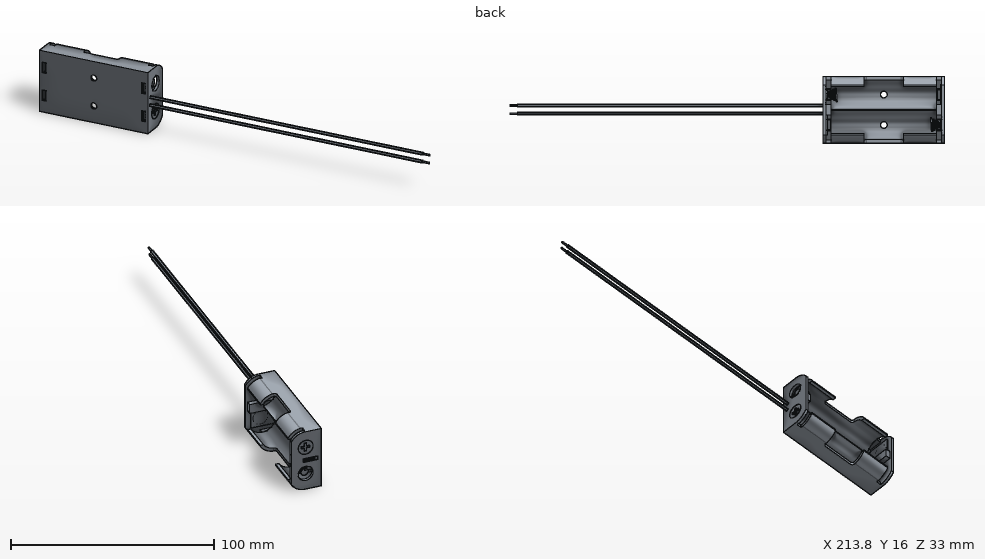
import cadquery as cq
import math


total_length = 213.8
body_length = 59.9
body_depth = 16.0
body_width = 33.0
half_width = body_width / 2

cell_pitch = 15.0
cell_z = cell_pitch / 2
cell_y = 8.3
bore_radius = 7.3
floor_thickness = cell_y - bore_radius

curve_start_y = 9.6
curve_radius = math.hypot(half_width - cell_z, curve_start_y - cell_y)
flat_half_width = cell_z + math.sqrt(curve_radius**2 - (body_depth - cell_y) ** 2)

opening_half_width = 11.5
cutout_floor_y = 7.7
cutout_length = 19.5
cutout_fillet = 1.3

end_wall = 1.5
pocket_length = 2.5
pocket_end = end_wall + pocket_length
divider_half_width = 2.5
divider_top_y = 15.0
window_length = 2.1
window_width = 5.5

screw_hole_diameter = 3.2
end_hole_diameter = 8.0

recess_low_y = 2.0
recess_high_y = 9.6
recess_height = 2.0
recess_depth = 0.5
inner_recess_low_y = 3.2
inner_recess_height = 0.6
inner_recess_depth = 0.9

sheet = 0.6
plate_half_width = 5.0
button_setback = 0.2
plate_top_y = 13.5
tab_width = 5.0
tab_low_y = 0.2
cross_span = 4.5
cross_arm = 1.0
cross_depth = 0.5

spring_disc_radius = 2.0
spring_leg_width = 1.0
coil_start_radius = 0.9
coil_end_radius = 3.6
coil_wire_radius = 0.32
coil_pitch = 1.3
coil_length = 5.1
coil_overlap = 0.2

lead_diameter = 1.5
core_diameter = 0.9
bare_length = 3.8
upper_lead = (3.0, 2.1)
lower_lead = (2.5, -2.0)
lead_places = (upper_lead, lower_lead)
lead_start = body_length - end_wall


def block(x0, x1, y0, y1, z0, z1):
    """Box between two opposite corners."""
    return cq.Workplane("XY").box(x1 - x0, y1 - y0, z1 - z0, centered=False).translate((x0, y0, z0))


def rod(x0, x1, y, z, diameter):
    """Round bar along X."""
    return cq.Workplane("YZ", origin=(x0, y, z)).circle(diameter / 2).extrude(x1 - x0)


def at_plus_x_end(part):
    """Turn a part made for the -X end half a turn about the body's Y axis."""
    middle = body_length / 2
    return part.rotate((middle, 0, 0), (middle, 1, 0), 180)


def body_blank():
    middle_angle = 0.5 * (
        math.atan2(curve_start_y - cell_y, half_width - cell_z)
        + math.atan2(body_depth - cell_y, flat_half_width - cell_z)
    )
    mid_y = cell_y + curve_radius * math.sin(middle_angle)
    mid_z = cell_z + curve_radius * math.cos(middle_angle)
    return (
        cq.Workplane("YZ")
        .moveTo(0, -half_width)
        .lineTo(curve_start_y, -half_width)
        .threePointArc((mid_y, -mid_z), (body_depth, -flat_half_width))
        .lineTo(body_depth, flat_half_width)
        .threePointArc((mid_y, mid_z), (curve_start_y, half_width))
        .lineTo(0, half_width)
        .close()
        .extrude(body_length)
    )


def cell_space():
    """The two bores and the opening the cells drop in through."""
    space = block(
        pocket_end, body_length - pocket_end,
        cutout_floor_y, body_depth,
        -opening_half_width, opening_half_width,
    )
    for z in (-cell_z, cell_z):
        space = space.union(rod(pocket_end, body_length - pocket_end, cell_y, z, 2 * bore_radius))
    return space


def finger_cutout():
    middle = body_length / 2
    return (
        block(
            middle - cutout_length / 2, middle + cutout_length / 2,
            cutout_floor_y, body_depth,
            -half_width, half_width,
        )
        .edges("|Z and <Y")
        .fillet(cutout_fillet)
    )


def end_pockets():
    """Contact pockets of the -X end, their side slots and their floor windows."""
    space = block(end_wall, pocket_end, divider_top_y, body_depth, -half_width, half_width)
    inner_side = cell_z + bore_radius
    for side in (-1, 1):
        z = side * cell_z
        low, high = sorted((side * divider_half_width, side * inner_side))
        space = space.union(block(end_wall, pocket_end, floor_thickness, body_depth, low, high))
        low, high = sorted((side * divider_half_width, side * half_width))
        space = space.union(block(end_wall, pocket_end, cell_y, body_depth, low, high))
        space = space.union(
            block(
                end_wall, end_wall + window_length,
                0, floor_thickness,
                z - window_width / 2, z + window_width / 2,
            )
        )
    return space


def end_recess():
    outer = block(0, recess_depth, recess_low_y, recess_high_y, -recess_height / 2, recess_height / 2)
    inner = block(
        0, inner_recess_depth,
        inner_recess_low_y, recess_high_y,
        -inner_recess_height / 2, inner_recess_height / 2,
    )
    return outer.union(inner)


def make_housing():
    housing = body_blank().cut(cell_space()).cut(finger_cutout())
    housing = housing.cut(end_pockets()).cut(at_plus_x_end(end_pockets()))
    housing = housing.cut(end_recess())
    for z in (-cell_z, cell_z):
        screw_hole = (
            cq.Workplane("XZ", origin=(body_length / 2, 0, z))
            .circle(screw_hole_diameter / 2)
            .extrude(-body_depth)
        )
        housing = housing.cut(screw_hole)
        housing = housing.cut(rod(0, end_wall, cell_y, z, end_hole_diameter))
        housing = housing.cut(rod(body_length - end_wall, body_length, cell_y, z, end_hole_diameter))
    for y, z in lead_places:
        housing = housing.cut(rod(lead_start, body_length, y, z, lead_diameter))
    return housing


def contact_tab(z):
    """Foot on the pocket floor with a tab bent down into the floor window."""
    low = z - tab_width / 2
    high = z + tab_width / 2
    tab_end = end_wall + window_length
    foot = block(end_wall, tab_end, floor_thickness, floor_thickness + sheet, low, high)
    tab = block(tab_end - sheet, tab_end, tab_low_y, floor_thickness + sheet, low, high)
    return foot.union(tab)


def cross_dent(z):
    """Plus-shaped recess in the outer face of a contact button."""
    back = button_setback + cross_depth
    span = cross_span / 2
    arm = cross_arm / 2
    upright = block(button_setback, back, cell_y - span, cell_y + span, z - arm, z + arm)
    level = block(button_setback, back, cell_y - arm, cell_y + arm, z - span, z + span)
    return upright.union(level)


def make_plate_contact(z):
    """Positive contact of the -X end: a plate with a round button that fills the end hole."""
    plate = block(
        end_wall, end_wall + sheet,
        floor_thickness, plate_top_y,
        z - plate_half_width, z + plate_half_width,
    )
    button = rod(button_setback, end_wall, cell_y, z, end_hole_diameter)
    return plate.union(button).cut(cross_dent(z)).union(contact_tab(z))


def make_spring_contact(z):
    """Negative contact of the -X end: a small disc on a leg, with a coil that widens toward the cell."""
    front = end_wall + sheet
    disc = rod(end_wall, front, cell_y, z, 2 * spring_disc_radius)
    leg = block(
        end_wall, front,
        floor_thickness, cell_y,
        z - spring_leg_width / 2, z + spring_leg_width / 2,
    )
    cone_angle = math.degrees(math.atan((coil_end_radius - coil_start_radius) / coil_length))
    coil_x = front + coil_wire_radius - coil_overlap
    path = cq.Wire.makeHelix(
        coil_pitch, coil_length, coil_start_radius,
        center=cq.Vector(coil_x, cell_y, z), dir=cq.Vector(1, 0, 0), angle=cone_angle,
    )
    start = path.startPoint()
    section = cq.Plane(origin=start, xDir=(1, 0, 0), normal=path.tangentAt(0))
    coil = cq.Workplane(section).circle(coil_wire_radius).sweep(cq.Workplane(path), isFrenet=True)
    return disc.union(leg).union(coil).union(contact_tab(z))


def make_lead_core(y, z):
    return rod(lead_start, total_length, y, z, core_diameter)


def make_lead_insulation(y, z):
    sleeve = rod(lead_start, total_length - bare_length, y, z, lead_diameter)
    return sleeve.cut(make_lead_core(y, z))


housing = make_housing()

plate_contact = make_plate_contact(cell_z)
spring_contact = make_spring_contact(-cell_z)
plate_contacts = [plate_contact, at_plus_x_end(plate_contact)]
spring_contacts = [spring_contact, at_plus_x_end(spring_contact)]

lead_cores = [make_lead_core(y, z) for y, z in lead_places]
lead_insulations = [make_lead_insulation(y, z) for y, z in lead_places]

bodies = [housing, *plate_contacts, *spring_contacts, *lead_insulations, *lead_cores]
result = cq.Compound.makeCompound([body.solids().val() for body in bodies])